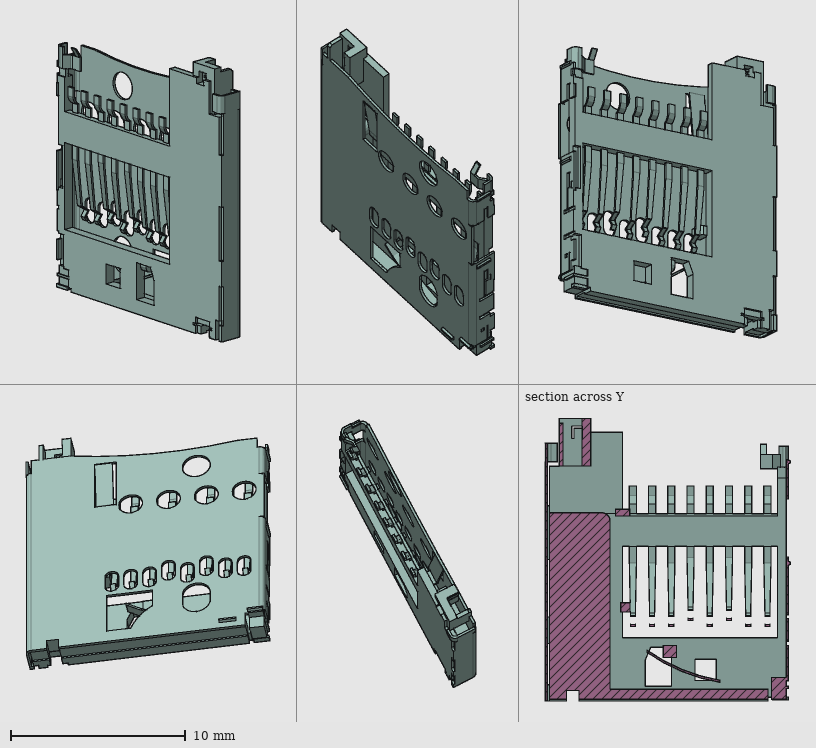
import cadquery as cq

WIDTH = 13.92
FRONT = 0.06
FRAME_BACK = 0.69
SHELL_BACK = 1.66
SHELL_T = 0.16
SHELL_INNER = SHELL_BACK - SHELL_T
RIDGE_BACK = 1.8
WALL_T = 0.13
BEND_R = 0.33
BEND_INNER_R = BEND_R - WALL_T
FRAME_LEFT = 0.11
FRAME_RIGHT = WIDTH - 0.24
EDGE_RECESS_BACK = 0.31
CUT = 1.0
LAP = 0.1

LEFT_WALL_BOTTOM = 1.16
LEFT_WALL_TOP = 13.65
LEFT_GAP = (8.26, 11.57)
RIGHT_WALL_TOP = 13.7
RIGHT_CLIPS = ((0, 0.95), (3.3, 4.83), (8.1, 11.2))
PLATE_TOP = 14.68

WINDOW_LEFT = 0.63
WINDOW_RIGHT = 9.49
LOWER_WINDOW = (3.64, 8.87)
BRIDGE_TOP = 10.74
LEFT_LEG_TOP = 12.79
TOWER_TOP = 15.4
TOWER_BACK = 0.5
TOWER_RIGHT = 12.83
SHOULDER_TOP = 13.46
FRAME_CORNER_X = 1.16

FOOT_FRONT = 0.12
FOOT_RIGHT = 0.97
FOOT_TOP = 1.27
FOOT_SPLIT = 0.9

CONTACT_COUNT = 8
CONTACT_PITCH = 1.1
FIRST_CONTACT_X = 1.2
CONTACT_W = 0.42
CONTACT_TIP_W = 0.3
CONTACT_T = 0.12
TAIL_T = 0.14
CONTACT_ROOT_Z = BRIDGE_TOP - 0.2
RAISED_CONTACTS = (2, 4)
CONTACT_RAISE = 0.34

ROUND_HOLE_X = 3.98
ROUND_HOLE_R = 0.81
SLOT_W = 0.8
SLOT_BOTTOM = 3.85
SLOT_TOP = 5.35
SPRING_OPENING_LEFT = 8.64
SPRING_OPENING_RIGHT = 9.9
SPRING_OPENING_BOTTOM = 10.5
SPRING_OPENING_TOP = 13.8

SLIDER_LEFT = 11.3
SLIDER_RIGHT = 13.13
SLIDER_FRONT = 0.24
SLIDER_TOP = 16.2
SLIDER_BAR_BACK = 0.75


def box(x0, x1, y0, y1, z0, z1):
    """Box between two opposite corners."""
    return cq.Workplane("XY").box(x1 - x0, y1 - y0, z1 - z0, centered=False).translate((x0, y0, z0))


def plate(points, y0, y1):
    """Closed XZ outline extruded from y0 to y1."""
    return cq.Workplane("XZ", origin=(0, y0, 0)).polyline(points).close().extrude(y0 - y1)


def side_profile(points, x0, x1):
    """Closed YZ outline extruded from x0 to x1."""
    return cq.Workplane("YZ", origin=(x0, 0, 0)).polyline(points).close().extrude(x1 - x0)


def obround(x, z0, z1, width):
    """Upright obround cutter through the back plate."""
    return (
        cq.Workplane("XZ", origin=(x, SHELL_INNER - CUT / 2, (z0 + z1) / 2))
        .slot2D(z1 - z0, width, 90)
        .extrude(-SHELL_T - CUT)
    )


def round_hole(x, z, radius):
    """Round cutter through the back plate."""
    return cq.Workplane("XZ", origin=(x, SHELL_INNER - CUT / 2, z)).circle(radius).extrude(-SHELL_T - CUT)


def contact_x(index):
    return FIRST_CONTACT_X + index * CONTACT_PITCH


def contact_raise(index):
    return CONTACT_RAISE if index in RAISED_CONTACTS else 0


def make_shell():
    """Bent sheet shell: back plate with a dished top edge and two side walls."""
    outside = box(0, WIDTH, FRONT, SHELL_BACK, 0, PLATE_TOP)
    inside = box(WALL_T, WIDTH - WALL_T, FRONT - CUT, SHELL_INNER, -CUT, PLATE_TOP + CUT)
    shell = outside.edges("|Z and >Y").fillet(BEND_R)
    shell = shell.cut(inside.edges("|Z and >Y").fillet(BEND_INNER_R))

    dish_start = (1.6, 14.35)
    dish_low = (6.0, 14.09)
    dish_end = (SLIDER_LEFT, PLATE_TOP)
    dish = (
        cq.Workplane("XZ", origin=(0, SHELL_INNER - CUT, 0))
        .moveTo(-CUT, dish_start[1])
        .lineTo(*dish_start)
        .threePointArc(dish_low, dish_end)
        .lineTo(dish_end[0], PLATE_TOP + CUT)
        .lineTo(-CUT, PLATE_TOP + CUT)
        .close()
        .extrude(-SHELL_T - 2 * CUT)
    )
    shell = shell.cut(dish)

    plate_left = 0.46
    for z0, z1 in ((-CUT, LEFT_WALL_BOTTOM), (LEFT_WALL_TOP, TOWER_TOP)):
        shell = shell.cut(box(-CUT, WALL_T, -CUT, SHELL_INNER, z0, z1))
    shell = shell.cut(box(-CUT, plate_left, -CUT, SHELL_BACK + CUT, LEFT_WALL_TOP, TOWER_TOP))
    shell = shell.cut(box(-CUT, FRAME_CORNER_X, -CUT, SHELL_BACK + CUT, -CUT, FOOT_SPLIT))

    flat_left = 0.03
    shell = shell.cut(box(-CUT, BEND_R, -CUT, SHELL_INNER, *LEFT_GAP))
    shell = shell.union(box(flat_left, BEND_R, SHELL_INNER, SHELL_BACK, *LEFT_GAP))

    setback = 0.18
    right_edge = WIDTH - BEND_R
    shell = shell.cut(box(right_edge, WIDTH + CUT, -CUT, SHELL_BACK + CUT, RIGHT_WALL_TOP, TOWER_TOP))
    clip_tops = [top for bottom, top in RIGHT_CLIPS]
    next_bottoms = [bottom for bottom, top in RIGHT_CLIPS[1:]] + [RIGHT_WALL_TOP]
    for z0, z1 in zip(clip_tops, next_bottoms):
        shell = shell.cut(box(right_edge, WIDTH + CUT, -CUT, setback, z0, z1))
    return shell


def cut_left_wall_slots(shell):
    """Slots that free the latch tongues in the left wall."""
    tongue_front, tongue_back = 0.47, 0.75
    narrow_slot = 0.11
    hairline = 0.06
    slot_end = 1.08
    pin_hole_back = 0.98
    lowest_tongue_top = 2.25
    slots = [
        (tongue_front, tongue_back, LEFT_GAP[1], 12.5),
        (tongue_front, tongue_back, 6.2, 7.12),
        (tongue_back - narrow_slot, tongue_back, 4.9, 6.2),
        (-CUT, slot_end, 4.74, 4.95),
        (-CUT, slot_end, 3.2, 3.43),
        (tongue_back, pin_hole_back, 2.06, lowest_tongue_top),
        (tongue_front, tongue_front + hairline, LEFT_WALL_BOTTOM, lowest_tongue_top),
        (-CUT, EDGE_RECESS_BACK, 12.9, 13.3),
        (-CUT, EDGE_RECESS_BACK, 6.1, 6.5),
        (-CUT, EDGE_RECESS_BACK, 2.93, 3.43),
        (-CUT, EDGE_RECESS_BACK, LEFT_WALL_BOTTOM, 1.71),
    ]
    for y0, y1, z0, z1 in slots:
        shell = shell.cut(box(-CUT, WALL_T, y0, y1, z0, z1))
    return shell


def cut_shell_openings(shell):
    """Openings through the back plate."""
    for index in range(CONTACT_COUNT):
        rise = contact_raise(index)
        shell = shell.cut(obround(contact_x(index), SLOT_BOTTOM + rise, SLOT_TOP + rise, SLOT_W))

    sight_hole_z = 12.75
    shell = shell.cut(round_hole(ROUND_HOLE_X, sight_hole_z, ROUND_HOLE_R))
    long_hole = (1.48, 3.68)
    shell = shell.cut(obround(ROUND_HOLE_X, *long_hole, 2 * ROUND_HOLE_R))
    relief_z, relief_r = 10.42, 0.69
    for index in range(0, CONTACT_COUNT, 2):
        shell = shell.cut(round_hole(contact_x(index), relief_z, relief_r))

    spring_opening = box(
        SPRING_OPENING_LEFT,
        SPRING_OPENING_RIGHT,
        SHELL_INNER - CUT / 2,
        SHELL_BACK + CUT,
        SPRING_OPENING_BOTTOM,
        SPRING_OPENING_TOP,
    )
    shell = shell.cut(spring_opening)

    cam_left, cam_right, cam_top = 6.53, 9.21, 3.55
    cam_corner_z = 2.35
    cam_bottom = (7.8, 0.8)
    cam_mid = (7.35, 1.6)
    cam = (
        cq.Workplane("XZ", origin=(0, SHELL_INNER - CUT / 2, 0))
        .moveTo(cam_left, cam_top)
        .lineTo(cam_left, cam_corner_z)
        .threePointArc(cam_mid, cam_bottom)
        .lineTo(cam_right, cam_bottom[1])
        .lineTo(cam_right, cam_top)
        .close()
        .extrude(-SHELL_T - CUT)
    )
    return shell.cut(cam)


def make_card_spring():
    """Leaf lanced out of the back plate, leaning forward towards its lower end."""
    leaf_left = 8.88
    leaf_t = 0.12
    root_z = SPRING_OPENING_TOP + LAP
    tip_y, tip_z = 1.08, 10.95
    profile = [
        (SHELL_INNER, root_z),
        (SHELL_INNER + leaf_t, root_z),
        (tip_y + leaf_t, tip_z),
        (tip_y, tip_z),
    ]
    leaf = side_profile(profile, leaf_left, SPRING_OPENING_RIGHT)

    pad_left, pad_front, pad_bottom, pad_top = 9.08, 0.88, 10.6, 11.0
    tip_pad = box(pad_left, SPRING_OPENING_RIGHT, pad_front, tip_y + leaf_t, pad_bottom, pad_top)
    return leaf.union(tip_pad)


def make_frame():
    """Moulded front frame with two card windows and the raised slider tower."""
    step_z = 0.22
    outline = [
        (FRAME_LEFT, FOOT_TOP),
        (FOOT_RIGHT, FOOT_TOP),
        (FOOT_RIGHT, step_z),
        (FRAME_CORNER_X, step_z),
        (FRAME_CORNER_X, 0),
        (FRAME_RIGHT, 0),
        (FRAME_RIGHT, SHOULDER_TOP),
        (TOWER_RIGHT, SHOULDER_TOP),
        (TOWER_RIGHT, TOWER_TOP),
        (WINDOW_RIGHT, TOWER_TOP),
        (WINDOW_RIGHT, BRIDGE_TOP),
        (WINDOW_LEFT, BRIDGE_TOP),
        (WINDOW_LEFT, LEFT_LEG_TOP),
        (FRAME_LEFT, LEFT_LEG_TOP),
    ]
    frame = plate(outline, FRONT, FRAME_BACK)
    frame = frame.cut(box(WINDOW_LEFT, WINDOW_RIGHT, -CUT, SHELL_INNER, *LOWER_WINDOW))

    frame = frame.cut(box(WINDOW_RIGHT, FRAME_RIGHT, TOWER_BACK, FRAME_BACK, BRIDGE_TOP, TOWER_TOP))
    ledge_z = BRIDGE_TOP - 0.15
    frame = frame.cut(box(WINDOW_LEFT, WINDOW_RIGHT, TOWER_BACK, FRAME_BACK, ledge_z, BRIDGE_TOP))

    square_left, square_bottom, square_side = 4.14, 1.2, 1.2
    square_right = square_left + square_side
    square_top = square_bottom + square_side
    frame = frame.cut(box(square_left, square_right, -CUT, SHELL_INNER, square_bottom, square_top))

    tall_left, tall_right, tall_bottom, tall_top = 6.7, 8.19, 0.86, 3.08
    clip_x, clip_z = 7.88, 2.35
    tall_opening = [
        (tall_left, tall_bottom),
        (tall_right, tall_bottom),
        (tall_right, clip_z),
        (clip_x, tall_top),
        (tall_left, tall_top),
    ]
    frame = frame.cut(plate(tall_opening, -CUT, SHELL_INNER))

    cross_left, cross_right, cross_bottom, cross_top = 11.5, 13.05, 0.48, 0.62
    ledge_left, ledge_right, ledge_top = 11.7, 12.9, 0.98
    ledge_back = FRONT + 0.15
    frame = frame.cut(box(cross_left, cross_right, -CUT, SHELL_INNER, cross_bottom, cross_top))
    frame = frame.cut(box(ledge_left, ledge_right, -CUT, ledge_back, -CUT, ledge_top))

    middle_right, middle_bottom, middle_top = 0.47, 6.08, 8.64
    low_right, low_top = 0.53, 3.3
    corner_left, corner_top = 13.4, 1.2
    frame = frame.cut(box(-CUT, middle_right, -CUT, EDGE_RECESS_BACK, middle_bottom, middle_top))
    frame = frame.cut(box(-CUT, low_right, -CUT, EDGE_RECESS_BACK, 0, low_top))
    frame = frame.cut(box(corner_left, FRAME_RIGHT, -CUT, EDGE_RECESS_BACK, -CUT, corner_top))
    return frame


def make_interior():
    """End wall, slider rail and card stop between the frame and the back plate."""
    wall_bottom, wall_top = 0.1, 0.7
    end_wall = box(FRAME_CORNER_X, FRAME_RIGHT, FRAME_BACK, SHELL_INNER, wall_bottom, wall_top)

    rail_left, rail_top, rail_r = 10.2, 10.8, 0.5
    rail = box(rail_left, FRAME_RIGHT, FRAME_BACK, SHELL_INNER, wall_bottom, rail_top)
    rail = rail.edges("|Y and <X and >Z").fillet(rail_r)

    stop_left, stop_right, stop_bottom, stop_top = 9.06, 9.6, 5.1, 5.65
    stop_chamfer = 0.18
    stop = box(stop_left, stop_right, FRAME_BACK - LAP, SHELL_INNER, stop_bottom, stop_top)
    stop = stop.edges("|Z and <X and <Y").chamfer(stop_chamfer)
    return end_wall.union(rail).union(stop)


def cut_end_notch(body):
    """Notch through the closed end."""
    left, right, top = 12.0, 12.7, 0.6
    return body.cut(box(left, right, -CUT, SHELL_BACK + CUT, -CUT, top))


def make_contact_tail(x):
    """Solder tail lying at the front, bent back into the bridge."""
    top, bend_top = 12.33, 11.78
    bend_bottom = bend_top - 0.5
    bend_mid_y, bend_mid_z = 0.12, bend_top - 0.31
    root_front = 0.34
    return (
        cq.Workplane("YZ", origin=(x - CONTACT_W / 2, 0, 0))
        .moveTo(0, top)
        .lineTo(0, bend_top)
        .threePointArc((bend_mid_y, bend_mid_z), (root_front, bend_bottom))
        .lineTo(root_front, CONTACT_ROOT_Z)
        .lineTo(root_front + TAIL_T, CONTACT_ROOT_Z)
        .lineTo(root_front + TAIL_T, bend_bottom)
        .threePointArc((bend_mid_y + TAIL_T, bend_mid_z), (TAIL_T, bend_top))
        .lineTo(TAIL_T, top)
        .close()
        .extrude(CONTACT_W)
    )


def make_contact_beam(x, rise):
    """Beam leaning back from the bridge, narrowing to a curled tip."""
    flat_bottom = 7.9 + rise
    knee_z = 5.06 + rise
    tip_z = 4.1 + rise
    front_line = [
        (0.33, CONTACT_ROOT_Z),
        (0.33, flat_bottom),
        (0.68, knee_z),
        (1.21, 4.7 + rise),
        (0.95, 4.35 + rise),
        (1.1, tip_z),
    ]
    back_line = [(y + CONTACT_T, z) for y, z in reversed(front_line)]

    half_root = CONTACT_W / 2
    half_tip = CONTACT_TIP_W / 2
    right_edge = [
        (half_tip, tip_z),
        (half_tip, knee_z),
        (half_root, flat_bottom),
        (half_root, CONTACT_ROOT_Z),
    ]
    left_edge = [(-dx, z) for dx, z in reversed(right_edge)]
    width_outline = plate(right_edge + left_edge, 0, SHELL_BACK).translate((x, 0, 0))
    beam = side_profile(front_line + back_line, x - half_root, x + half_root)
    return beam.intersect(width_outline)


def make_contact(index):
    x = contact_x(index)
    return make_contact_tail(x).union(make_contact_beam(x, contact_raise(index)))


def make_slider():
    """Eject slider: front bar with a left arm and a shorter bevelled right arm."""
    left_arm_right = 11.82
    right_arm_left, right_arm_top = 12.9, 15.92
    bevel = 0.15
    bottom = SHOULDER_TOP
    bar = box(SLIDER_LEFT, SLIDER_RIGHT, SLIDER_FRONT, SLIDER_BAR_BACK, bottom, SLIDER_TOP)
    left_arm = box(SLIDER_LEFT, left_arm_right, SLIDER_FRONT, SHELL_INNER, bottom, SLIDER_TOP)
    right_arm_profile = [
        (SLIDER_FRONT, bottom),
        (SLIDER_FRONT, right_arm_top),
        (SHELL_INNER, right_arm_top),
        (SHELL_BACK, right_arm_top - bevel),
        (SHELL_BACK, bottom),
    ]
    right_arm = side_profile(right_arm_profile, right_arm_left, SLIDER_RIGHT)
    return bar.union(left_arm).union(right_arm)


def add_hook_window(body):
    """Small window through the tower and the slider, with a slotted hook standing inside it."""
    left, right, bottom, top = 11.8, 12.4, 15.05, 15.75
    clearance = 0.12
    body = body.cut(box(left, right, -CUT, SHELL_BACK + CUT, bottom, top))
    hook = box(left - LAP, right - clearance, TOWER_BACK, SLIDER_BAR_BACK, bottom - LAP, top - clearance)

    slot_left, slot_back, slot_bottom, slot_top = 11.95, 0.62, 15.35, 15.5
    slot = box(slot_left, right, -CUT, slot_back, slot_bottom, slot_top)
    return body.union(hook.cut(slot))


def make_left_column():
    """Sheet column wrapped round the left corner of the mouth and continued as a leaf."""
    bottom, top = 13.3, 14.6
    column_right, column_back = 0.54, 0.75
    column_r = 0.3
    column = box(0, column_right, 0, column_back, bottom, top)
    column = column.edges("|Z and <X and <Y").fillet(column_r)
    hollow = box(WALL_T, column_right + CUT, WALL_T, column_back + CUT, bottom, top)
    column = column.cut(hollow.edges("|Z and <X and <Y").fillet(column_r - WALL_T))

    leaf_top, leaf_right = 14.13, 1.6
    leaf_front, leaf_back = 0.36, 0.48
    leaf_outline = [
        (column_right - LAP, 0),
        (column_right, 0),
        (0.88, 0.3),
        (0.98, leaf_front),
        (leaf_right, leaf_front),
        (leaf_right, leaf_back),
        (0.92, leaf_back),
        (column_right - LAP, WALL_T),
    ]
    leaf = cq.Workplane("XY", origin=(0, 0, bottom)).polyline(leaf_outline).close().extrude(leaf_top - bottom)

    tab_left, tab_top = 1.25, 14.72
    tab_profile = [(LAP, tab_top), (0, tab_top), (leaf_front, leaf_top), (leaf_back, leaf_top)]
    tab = side_profile(tab_profile, tab_left, leaf_right)

    block_front = 0.15
    block = box(FRAME_LEFT, WINDOW_LEFT, block_front, leaf_front, LEFT_LEG_TOP - LAP, bottom + LAP)
    return column.union(leaf).union(tab).union(block)


def make_left_wall_details():
    """Mounting clips on the front edge of the left wall and bumps on its outside."""
    clip_back = FRONT + 0.2
    details = cq.Workplane("XY")
    for z0, z1 in ((LEFT_GAP[1], 12.35), (5.9, LEFT_GAP[0]), (1.71, 2.93)):
        details = details.add(box(0, WALL_T, 0, clip_back, z0, z1))

    bump_out, bump_half_root, bump_half_tip = 0.11, 0.13, 0.06
    bump_front, bump_back = 0.34, 1.33
    for z in (7.9, 13.7):
        outline = [
            (LAP, z - bump_half_root),
            (0, z - bump_half_root),
            (-bump_out, z - bump_half_tip),
            (-bump_out, z + bump_half_tip),
            (0, z + bump_half_root),
            (LAP, z + bump_half_root),
        ]
        details = details.add(plate(outline, bump_front, bump_back))
    return details.combine()


def make_foot():
    """Foot in the lower left corner: two blocks and two cross bars."""
    bottom = 0.1
    lower_back = 1.25
    lower = box(FRAME_LEFT, FOOT_RIGHT, FOOT_FRONT, lower_back, bottom, FOOT_TOP + LAP)
    upper = box(FRAME_LEFT, FOOT_RIGHT, FOOT_FRONT, SHELL_BACK, FOOT_SPLIT, FOOT_TOP)

    wire_back, wire_bottom, wire_top = 1.0, 0.72, 0.87
    bar_right, bar_back, bar_bottom, bar_top = 0.9, 0.3, 0.06, 0.25
    wire = box(0, FOOT_RIGHT, FRONT, wire_back, wire_bottom, wire_top)
    bar = box(0, bar_right, 0, bar_back, bar_bottom, bar_top)
    return lower.union(upper).union(wire).union(bar)


def make_ridge(x0, x1, z):
    """Low ridge across the outside of the back plate."""
    half_root, half_top = 0.14, 0.05
    sunk = SHELL_BACK - LAP / 2
    profile = [
        (sunk, z - half_root),
        (RIDGE_BACK, z - half_top),
        (RIDGE_BACK, z + half_top),
        (sunk, z + half_root),
    ]
    return side_profile(profile, x0, x1)


def make_right_fittings():
    """Mounting clips on the right wall and the wrapped corner at the mouth."""
    corner_left, corner_top = 13.22, 14.77
    corner = box(corner_left, WIDTH, 0, SHELL_INNER, RIGHT_WALL_TOP, corner_top)
    corner = corner.edges("|Z and <Y and >X").fillet(BEND_R)
    hollow = box(corner_left - CUT, WIDTH - WALL_T, WALL_T, SHELL_BACK, 0, corner_top + CUT)
    fittings = corner.cut(hollow.edges("|Z and <Y and >X").fillet(BEND_INNER_R))
    for z0, z1 in RIGHT_CLIPS:
        fittings = fittings.union(box(FRAME_RIGHT, WIDTH, FRONT, EDGE_RECESS_BACK, z0, z1))
    return fittings


def make_cam_spring():
    """Bowed wire spring lying on the back plate behind the two lower openings, with its post."""
    wire_front, wire_w = 0.9, 0.13
    start, middle, end = (3.9, 1.2), (5.9, 1.75), (8.1, 2.93)
    wire = (
        cq.Workplane("XZ", origin=(0, wire_front, 0))
        .moveTo(*start)
        .threePointArc(middle, end)
        .lineTo(end[0], end[1] - wire_w)
        .threePointArc((middle[0], middle[1] - wire_w), (start[0], start[1] - wire_w))
        .close()
        .extrude(wire_front - SHELL_INNER)
    )
    post_left, post_right, post_front, post_back = 6.4, 7.17, 0.4, 1.2
    post_bottom, post_top, post_r = 2.49, 3.2, 0.28
    post = box(post_left, post_right, post_front, post_back, post_bottom, post_top)
    return wire.union(post.edges("|X and <Y and <Z").fillet(post_r))


def make_part():
    body = cut_shell_openings(cut_left_wall_slots(make_shell()))
    body = body.union(make_card_spring())
    body = body.union(make_frame())
    body = body.union(make_slider())
    body = add_hook_window(body)
    body = body.union(make_interior())
    body = body.union(make_cam_spring())
    for index in range(CONTACT_COUNT):
        body = body.union(make_contact(index))
    body = body.union(make_left_column())
    body = body.union(make_left_wall_details())
    body = body.union(make_foot())
    body = body.union(make_ridge(FRAME_LEFT, 1.0, LEFT_WALL_BOTTOM - LAP / 2))
    body = body.union(make_ridge(1.66, 2.65, 0.52))
    body = body.union(make_right_fittings())
    return cut_end_notch(body)


result = make_part().solids()